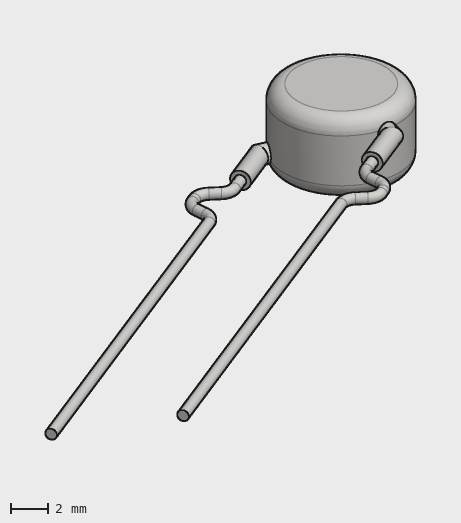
import cadquery as cq
import math

disc_diameter = 8.0
disc_height = 5.0
disc_edge_radius = 1.0
disc_radius = disc_diameter / 2

overall_length = 39.5
lead_pitch = 7.5
lead_height = 1.25
lead_diameter = 0.67
lead_tip_y = disc_radius - overall_length

kink_start_y = -6.4
kink_bend_radius = 0.85
kink_bend_angle = math.radians(65)
kink_slope_length = 0.67
kink_crest_length = 0.3

sleeve_diameter = 1.2
sleeve_end_y = -5.5
sleeve_elbow_y = -2.5
sleeve_slant = math.radians(45)
sleeve_slant_length = 1.98


def make_sleeve(side):
    """Mitred tube stub from inside the disc to its flat end; side is -1 or +1 along X."""
    axis_x = side * lead_pitch / 2
    axis_z = side * lead_height
    inner_x = axis_x - side * sleeve_slant_length * math.sin(sleeve_slant)
    inner_y = sleeve_elbow_y + sleeve_slant_length * math.cos(sleeve_slant)
    path = (
        cq.Workplane("XY", origin=(0, 0, axis_z))
        .moveTo(axis_x, sleeve_end_y)
        .lineTo(axis_x, sleeve_elbow_y)
        .lineTo(inner_x, inner_y)
    )
    return (
        cq.Workplane("XZ", origin=(axis_x, sleeve_end_y, axis_z))
        .circle(sleeve_diameter / 2)
        .sweep(path, transition="right")
    )


def make_coated_disc():
    """Disc with rounded rims and the two sleeves of the same coating."""
    disc = (
        cq.Workplane("XY", origin=(0, 0, -disc_height / 2))
        .circle(disc_radius)
        .extrude(disc_height)
        .faces("|Z")
        .edges()
        .fillet(disc_edge_radius)
    )
    for side in (-1, 1):
        disc = disc.union(make_sleeve(side))
    return disc


def make_lead(side):
    """Kinked wire starting on the sleeve's end face; side is -1 or +1 along X."""
    axis_x = side * lead_pitch / 2
    axis_z = side * lead_height

    bend_out = kink_bend_radius * (1 - math.cos(kink_bend_angle))
    bend_down = kink_bend_radius * math.sin(kink_bend_angle)
    slope_out = kink_slope_length * math.sin(kink_bend_angle)
    slope_down = kink_slope_length * math.cos(kink_bend_angle)
    half_bend_out = kink_bend_radius * (1 - math.cos(kink_bend_angle / 2))
    half_bend_down = kink_bend_radius * math.sin(kink_bend_angle / 2)
    kink_out = 2 * bend_out + slope_out
    flank_down = 2 * bend_down + slope_down
    kink_length = 2 * flank_down + kink_crest_length

    def on_kink(out, down):
        return (axis_x + side * out, kink_start_y - down)

    def on_kink_mirrored(out, down):
        return on_kink(out, kink_length - down)

    path = (
        cq.Workplane("XY", origin=(0, 0, axis_z))
        .moveTo(axis_x, sleeve_end_y)
        .lineTo(*on_kink(0, 0))
        .threePointArc(on_kink(half_bend_out, half_bend_down), on_kink(bend_out, bend_down))
        .lineTo(*on_kink(bend_out + slope_out, bend_down + slope_down))
        .threePointArc(
            on_kink(kink_out - half_bend_out, flank_down - half_bend_down),
            on_kink(kink_out, flank_down),
        )
        .lineTo(*on_kink_mirrored(kink_out, flank_down))
        .threePointArc(
            on_kink_mirrored(kink_out - half_bend_out, flank_down - half_bend_down),
            on_kink_mirrored(bend_out + slope_out, bend_down + slope_down),
        )
        .lineTo(*on_kink_mirrored(bend_out, bend_down))
        .threePointArc(
            on_kink_mirrored(half_bend_out, half_bend_down),
            on_kink_mirrored(0, 0),
        )
        .lineTo(axis_x, lead_tip_y)
    )
    return (
        cq.Workplane("XZ", origin=(axis_x, sleeve_end_y, axis_z))
        .circle(lead_diameter / 2)
        .sweep(path)
    )


coated_disc = make_coated_disc()
leads = [make_lead(side) for side in (-1, 1)]

result = cq.Compound.makeCompound([coated_disc.val(), *[lead.val() for lead in leads]])